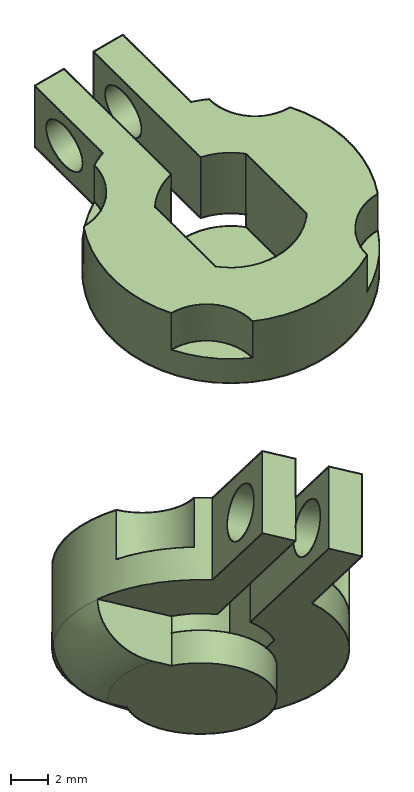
import cadquery as cq

ring_radius = 8.0
ring_height = 5.0
overall_length = 21.45
bore_radius = 4.1
bore_flat_offset = 3.09

ear_thickness = 2.0
slot_width = 2.0
ear_hole_diameter = 3.22
ear_hole_inset = 2.64

scallop_radius = 3.1
scallop_offset = 7.0
scallop_depth = 3.0

bracket_drop = 3.0
bracket_edge_radius = 3.0
disc_thickness = 2.0

ring_bottom = bracket_drop
ring_top = ring_bottom + ring_height
ear_end_x = ring_radius - overall_length
ears_width = slot_width + 2 * ear_thickness
bore_flat_length = 2 * (bore_radius**2 - bore_flat_offset**2) ** 0.5


def cylinder(radius, bottom, height):
    return cq.Workplane("XY").workplane(offset=bottom).circle(radius).extrude(height)


def box_between(x_range, y_range, z_range):
    """Box filling the given low-to-high range on each axis."""
    ranges = (x_range, y_range, z_range)
    size = [high - low for low, high in ranges]
    corner = tuple(low for low, high in ranges)
    return cq.Workplane("XY").box(*size, centered=False).translate(corner)


def ear_strip(width):
    """Strip along X from the ear ends to the ring centre."""
    return box_between((ear_end_x, 0), (-width / 2, width / 2), (ring_bottom, ring_top))


def bore():
    """Round bore with flats facing +Y and -Y."""
    flats = box_between(
        (-bore_radius, bore_radius), (-bore_flat_offset, bore_flat_offset), (ring_bottom, ring_top)
    )
    return cylinder(bore_radius, ring_bottom, ring_height).intersect(flats)


def ear_hole():
    """Screw hole through both ears along Y."""
    return (
        cq.Workplane("XZ", origin=(0, ears_width / 2, 0))
        .center(ear_end_x + ear_hole_inset, ring_bottom + ring_height / 2)
        .circle(ear_hole_diameter / 2)
        .extrude(ears_width)
    )


def scallops():
    """Four round pockets cut down from the rim."""
    return (
        cq.Workplane("XY", origin=(0, 0, ring_top - scallop_depth))
        .rect(2 * scallop_offset, 2 * scallop_offset, forConstruction=True)
        .vertices()
        .circle(scallop_radius)
        .extrude(scallop_depth)
    )


def bracket():
    """Arm as wide as the bore flat, following the rim, with its lower outer edge rounded."""
    rounded_base = cylinder(ring_radius, 0, ring_top).faces("<Z").edges().fillet(bracket_edge_radius)
    arm = box_between(
        (-bore_flat_length / 2, bore_flat_length / 2), (bore_flat_offset, ring_radius), (0, ring_bottom)
    )
    return rounded_base.intersect(arm)


clamp = cylinder(ring_radius, ring_bottom, ring_height).union(ear_strip(ears_width))
clamp = clamp.cut(ear_strip(slot_width)).cut(bore()).cut(ear_hole()).cut(scallops())

stop_disc = cylinder(bore_radius, 0, disc_thickness)

result = clamp.union(bracket()).union(stop_disc)